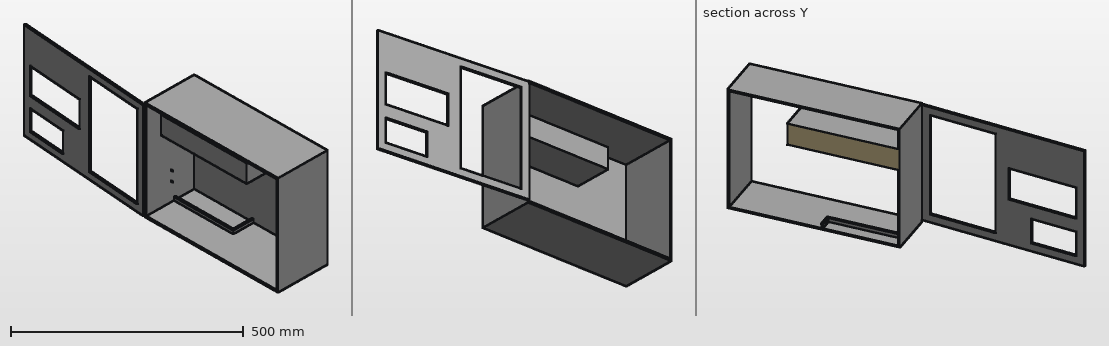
import cadquery as cq
import math

box_width = 405.0
box_depth = 150.0
box_height = 298.0
wall = 5.0
inner_back = box_depth - wall

rail_end = 265.0
rail_bottom = 193.0
rail_height = 54.0
rail_depth = 100.0

lip_end = 185.0
lip_front = 83.0
lip_thickness = 5.0
lip_height = 10.0

pin_diameter = 2.0
pin_length = 5.0
pin_heights = (59.0, 88.0)

overall_width = 802.0
door_angle = 5.0
door_thickness = 5.0
door_height = box_height - 2 * wall
swing = math.radians(door_angle)
door_width = (overall_width - box_width - door_thickness * math.sin(swing)) / math.cos(swing)

window_margin = 20.0
display_width = 160.0
display_height = door_height - 2 * window_margin
upper_width = 165.0
upper_height = 78.0
upper_bottom = 114.0
lower_width = 110.0
lower_height = 61.0


def block(x, y, z, width, depth, height):
    """Box with its lowest corner at (x, y, z)."""
    return cq.Workplane("XY").box(width, depth, height, centered=False).translate((x, y, z))


def make_shell():
    outer = block(0, 0, 0, box_width, box_depth, box_height)
    cavity = block(wall, 0, wall, box_width - 2 * wall, inner_back, box_height - 2 * wall)
    return outer.cut(cavity)


def make_rail():
    return block(wall, inner_back - rail_depth, rail_bottom,
                 rail_end - wall, rail_depth, rail_height)


def make_lip():
    front_run = block(wall, lip_front, wall, lip_end - wall, lip_thickness, lip_height)
    side_run = block(lip_end - lip_thickness, lip_front, wall,
                     lip_thickness, inner_back - lip_front, lip_height)
    return front_run.union(side_run)


def make_pin(height):
    return (
        cq.Workplane("YZ", origin=(wall, box_depth / 2, height))
        .circle(pin_diameter / 2)
        .extrude(pin_length)
    )


def make_housing():
    body = make_shell().union(make_rail()).union(make_lip())
    for height in pin_heights:
        body = body.union(make_pin(height))
    return body


def make_window(from_free_edge, from_bottom, width, height):
    return block(from_free_edge - door_width, -door_thickness, wall + from_bottom,
                 width, door_thickness, height)


def make_door():
    panel = block(-door_width, -door_thickness, wall, door_width, door_thickness, door_height)
    display_start = door_width - window_margin - display_width
    windows = (
        (display_start, window_margin, display_width, display_height),
        (window_margin, upper_bottom, upper_width, upper_height),
        (window_margin, window_margin, lower_width, lower_height),
    )
    for window in windows:
        panel = panel.cut(make_window(*window))
    return panel.rotate((0, 0, 0), (0, 0, 1), -door_angle)


housing = make_housing()
door = make_door()

result = cq.Compound.makeCompound([housing.val(), door.val()])